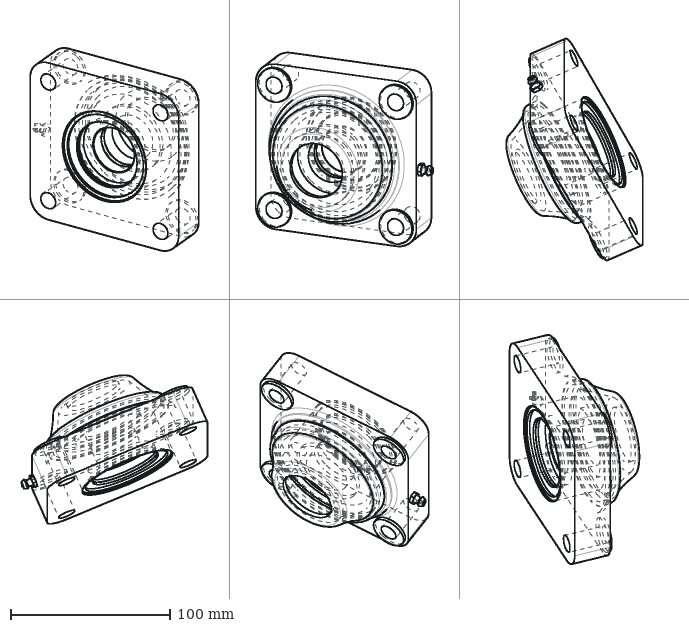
import cadquery as cq
import math


OVERALL_LENGTH = 119.0

ARC_INSET = 1 - math.sqrt(0.5)

PLATE_SIDE = 110.0
PLATE_THICKNESS = 24.2
CORNER_RADIUS = 13.6
BOLT_OFFSET = 41.5
BOLT_HOLE_RADIUS = 5.5
BOLT_BOSS_RADIUS = 11.2
BOLT_BOSS_TOP = 26.2

HUB_RADIUS = 44.1
HUB_TOP = 29.6
HUB_ROOT_FILLET = 2.4
HUB_TOP_FILLET = 2.0
RIM_TOP = 30.2
BORE_MOUTH_CHAMFER = 0.6

BEARING_RADIUS = 30.5
BEARING_FRONT = 1.2
SEAL_RADIUS = 28.2
SEAL_FRONT = 3.0
SEAL_BACK = 4.8
SEAL_INNER_RADIUS = 22.4
RACE_CHAMFER_RADIUS = 23.0
RACE_CHAMFER_END = 6.4
INNER_RING_FRONT = 11.2
BORE_RADIUS = 15.0
BORE_CHAMFER = 0.5
GROOVE_START = 20.6
GROOVE_END = 23.9
GROOVE_DEPTH = 0.1
INNER_RING_BACK = GROOVE_START + GROOVE_END - INNER_RING_FRONT
INNER_RING_RADIUS = SEAL_INNER_RADIUS

COVER_BASE_RADIUS = 40.8
COVER_SHOULDER_RADIUS = 40.3
COVER_SHOULDER_TOP = 37.5
COVER_SHOULDER_FILLET = 2.1
COVER_NECK_ROOT_RADIUS = 37.5
COVER_NECK_ROOT = 37.7
COVER_NECK_RADIUS = 36.8
COVER_NECK_TOP = 38.4
COVER_WAIST_RADIUS = 31.7
COVER_CONE_TOP_RADIUS = 27.8
COVER_CONE_TOP = 53.7
COVER_EDGE_RADIUS = 26.4
COVER_EDGE_HEIGHT = 55.3
COVER_END_RADIUS = 24.4
COVER_END = 56.0
COVER_WALL = 3.0
COVER_HOLE_RADIUS = 17.8

NIPPLE_Y = 19.2
NIPPLE_Z = -3.5
NIPPLE_LENGTH = OVERALL_LENGTH - PLATE_SIDE
HEX_SIDES = 6
HEX_ACROSS_FLATS = 7.0
HEX_THICKNESS = 2.3
NIPPLE_COLLAR_RADIUS = 3.2
NIPPLE_NECK_RADIUS = 2.1
NIPPLE_NECK_WAIST = 4.0
NIPPLE_NECK_END = 5.5
NIPPLE_HEAD_BACK_RADIUS = 2.6
NIPPLE_HEAD_RADIUS = 3.2
NIPPLE_HEAD_WIDEST = 6.3
NIPPLE_HEAD_END = 8.5
NIPPLE_FACE_RADIUS = 2.3
NIPPLE_BALL_RADIUS = 1.4


def revolve_about_shaft(profile):
    """Revolve a closed (radius, Y) profile about the shaft axis."""
    return profile.revolve(360, (0, 0, 0), (0, 1, 0))


def bolt_cylinders(radius, height):
    """Four cylinders at the bolt positions, rising from the mounting face."""
    pitch = 2 * BOLT_OFFSET
    return cq.Workplane("XZ").rect(pitch, pitch, forConstruction=True).vertices().circle(radius).extrude(-height)


def hub_solid():
    """Round hub with a concave root fillet, a rounded top edge and a low rim under the cover."""
    root_y = PLATE_THICKNESS
    profile = (
        cq.Workplane("XY")
        .lineTo(HUB_RADIUS + HUB_ROOT_FILLET, 0)
        .lineTo(HUB_RADIUS + HUB_ROOT_FILLET, root_y)
        .threePointArc(
            (HUB_RADIUS + ARC_INSET * HUB_ROOT_FILLET, root_y + ARC_INSET * HUB_ROOT_FILLET),
            (HUB_RADIUS, root_y + HUB_ROOT_FILLET),
        )
        .lineTo(HUB_RADIUS, HUB_TOP - HUB_TOP_FILLET)
        .threePointArc(
            (HUB_RADIUS - ARC_INSET * HUB_TOP_FILLET, HUB_TOP - ARC_INSET * HUB_TOP_FILLET),
            (HUB_RADIUS - HUB_TOP_FILLET, HUB_TOP),
        )
        .lineTo(COVER_BASE_RADIUS, HUB_TOP)
        .lineTo(COVER_BASE_RADIUS, RIM_TOP)
        .lineTo(0, RIM_TOP)
        .close()
    )
    return revolve_about_shaft(profile)


def make_housing():
    """Square plate with bolt bosses, hub, bolt holes and the chamfered bearing bore."""
    plate = (
        cq.Workplane("XZ")
        .rect(PLATE_SIDE, PLATE_SIDE)
        .extrude(-PLATE_THICKNESS)
        .edges("|Y")
        .fillet(CORNER_RADIUS)
    )
    bore = revolve_about_shaft(
        cq.Workplane("XY")
        .lineTo(BEARING_RADIUS + BORE_MOUTH_CHAMFER, 0)
        .lineTo(BEARING_RADIUS, BORE_MOUTH_CHAMFER)
        .lineTo(BEARING_RADIUS, RIM_TOP)
        .lineTo(0, RIM_TOP)
        .close()
    )
    body = plate.union(hub_solid()).union(bolt_cylinders(BOLT_BOSS_RADIUS, BOLT_BOSS_TOP))
    return body.cut(bolt_cylinders(BOLT_HOLE_RADIUS, BOLT_BOSS_TOP)).cut(bore)


def make_bearing():
    """Bearing insert with a recessed seal, a deep-set inner ring and a shallow groove in its bore."""
    profile = cq.Workplane("XY").polyline([
        (BEARING_RADIUS, BEARING_FRONT),
        (SEAL_RADIUS, BEARING_FRONT),
        (SEAL_RADIUS, SEAL_FRONT),
        (SEAL_INNER_RADIUS, SEAL_FRONT),
        (SEAL_INNER_RADIUS, SEAL_BACK),
        (RACE_CHAMFER_RADIUS, SEAL_BACK),
        (SEAL_INNER_RADIUS, RACE_CHAMFER_END),
        (SEAL_INNER_RADIUS, INNER_RING_FRONT),
        (BORE_RADIUS + BORE_CHAMFER, INNER_RING_FRONT),
        (BORE_RADIUS, INNER_RING_FRONT + BORE_CHAMFER),
        (BORE_RADIUS, GROOVE_START),
        (BORE_RADIUS + GROOVE_DEPTH, GROOVE_START),
        (BORE_RADIUS + GROOVE_DEPTH, GROOVE_END),
        (BORE_RADIUS, GROOVE_END),
        (BORE_RADIUS, INNER_RING_BACK),
        (INNER_RING_RADIUS, INNER_RING_BACK),
        (INNER_RING_RADIUS, RIM_TOP),
        (BEARING_RADIUS, RIM_TOP),
    ]).close()
    return revolve_about_shaft(profile)


def make_cover():
    """Hollow cover with a rounded shoulder, a slightly hollow cone and a hole for the shaft."""
    fillet = COVER_SHOULDER_FILLET
    profile = (
        cq.Workplane("XY")
        .moveTo(COVER_BASE_RADIUS - COVER_WALL, RIM_TOP)
        .lineTo(COVER_BASE_RADIUS, RIM_TOP)
        .lineTo(COVER_SHOULDER_RADIUS, COVER_SHOULDER_TOP - fillet)
        .threePointArc(
            (COVER_SHOULDER_RADIUS - ARC_INSET * fillet, COVER_SHOULDER_TOP - ARC_INSET * fillet),
            (COVER_SHOULDER_RADIUS - fillet, COVER_SHOULDER_TOP),
        )
        .lineTo(COVER_NECK_ROOT_RADIUS, COVER_NECK_ROOT)
        .lineTo(COVER_NECK_RADIUS, COVER_NECK_TOP)
        .threePointArc(
            (COVER_WAIST_RADIUS, (COVER_NECK_TOP + COVER_CONE_TOP) / 2),
            (COVER_CONE_TOP_RADIUS, COVER_CONE_TOP),
        )
        .threePointArc((COVER_EDGE_RADIUS, COVER_EDGE_HEIGHT), (COVER_END_RADIUS, COVER_END))
        .lineTo(COVER_HOLE_RADIUS, COVER_END)
        .lineTo(COVER_HOLE_RADIUS, COVER_END - COVER_WALL)
        .lineTo(COVER_END_RADIUS, COVER_END - COVER_WALL)
        .lineTo(COVER_NECK_RADIUS - COVER_WALL, COVER_SHOULDER_TOP - COVER_WALL)
        .lineTo(COVER_BASE_RADIUS - COVER_WALL, COVER_SHOULDER_TOP - COVER_WALL)
        .close()
    )
    return revolve_about_shaft(profile)


def make_nipple():
    """Grease nipple standing on the -X face: hexagon, waisted neck, head and protruding ball."""
    hexagon = (
        cq.Workplane("YZ")
        .polygon(HEX_SIDES, HEX_ACROSS_FLATS / math.cos(math.pi / HEX_SIDES))
        .extrude(-HEX_THICKNESS)
    )
    stem = (
        cq.Workplane("XY")
        .lineTo(0, NIPPLE_COLLAR_RADIUS)
        .lineTo(-HEX_THICKNESS, NIPPLE_COLLAR_RADIUS)
        .threePointArc((-NIPPLE_NECK_WAIST, NIPPLE_NECK_RADIUS), (-NIPPLE_NECK_END, NIPPLE_NECK_RADIUS))
        .lineTo(-NIPPLE_NECK_END, NIPPLE_HEAD_BACK_RADIUS)
        .lineTo(-NIPPLE_HEAD_WIDEST, NIPPLE_HEAD_RADIUS)
        .lineTo(-NIPPLE_HEAD_END, NIPPLE_FACE_RADIUS)
        .lineTo(-NIPPLE_HEAD_END, 0)
        .close()
        .revolve(360, (0, 0, 0), (1, 0, 0))
    )
    ball = cq.Workplane("XY").sphere(NIPPLE_BALL_RADIUS).translate((NIPPLE_BALL_RADIUS - NIPPLE_LENGTH, 0, 0))
    body = hexagon.union(stem).union(ball)
    return body.translate((-PLATE_SIDE / 2, NIPPLE_Y, NIPPLE_Z))


housing = make_housing()
bearing = make_bearing()
cover = make_cover()
nipple = make_nipple()

result = cq.Compound.makeCompound([housing.val(), bearing.val(), cover.val(), nipple.val()])